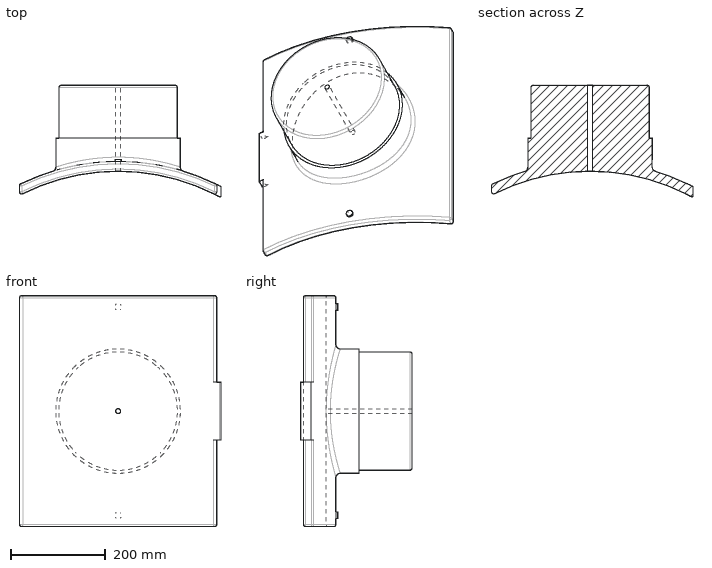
import cadquery as cq
plate_height = 487.0
plate_width = 416.0
plate_thickness = 21.0
back_radius = 471.0
edge_radius = 5.0

tab_height = 122.0
tab_reach = 9.0
tab_overlap = 16.0
tab_edge_radius = 2.5

collar_diameter = 262.5
collar_end = 49.0
collar_fillet = 9.0
spigot_diameter = 250.0
spigot_end = 160.5

center_hole_diameter = 10.0

button_diameter = 14.0
button_height = 4.0
button_offset = 219.5

joint_margin = 1.0

front_radius = back_radius - plate_thickness
half_width = plate_width / 2
tab_end = half_width + tab_reach


def curvature_cylinder(radius):
    """Full vertical cylinder about the axis of the plate's curvature."""
    return cq.Workplane("XY", origin=(0, -back_radius, 0)).circle(radius).extrude(plate_height / 2, both=True)


def curved_strip(x_left, x_right, height):
    """Curved slab between two X limits, centred on Z = 0."""
    width = x_right - x_left
    block = cq.Workplane("XY").box(width, back_radius, height)
    block = block.translate(((x_left + x_right) / 2, -back_radius / 2, 0))
    return block.intersect(curvature_cylinder(back_radius)).cut(curvature_cylinder(front_radius))


def cylinder_along_y(diameter, y_start, y_end, z=0.0):
    """Cylinder along +Y at X = 0."""
    start = cq.Vector(0, y_start, z)
    return cq.Workplane(cq.Solid.makeCylinder(diameter / 2, y_end - y_start, start, cq.Vector(0, 1, 0)))


def make_plate():
    """Curved plate with all its edges rounded."""
    return curved_strip(-half_width, half_width, plate_height).edges().fillet(edge_radius)


def add_collar(body):
    """Collar on the back of the plate, blended into it by a fillet."""
    collar_radius = collar_diameter / 2
    collar = cylinder_along_y(collar_diameter, -back_radius / 2, collar_end)
    body = body.union(collar.cut(curvature_cylinder(back_radius - plate_thickness / 2)))
    reach = collar_radius + joint_margin
    joint_region = cq.selectors.BoxSelector(
        (-reach, -half_width, -reach),
        (reach, joint_margin, reach),
        boundingbox=True,
    )
    return body.edges(joint_region).fillet(collar_fillet)


def make_spigot():
    """Solid round spigot with a rounded rim, standing on the collar."""
    spigot = cylinder_along_y(spigot_diameter, collar_end, spigot_end)
    return spigot.faces(">Y").edges().fillet(edge_radius)


def make_tab():
    """Tab that carries the plate's curve past its right edge."""
    tab = curved_strip(half_width - tab_overlap, tab_end, tab_height)
    return tab.edges("|Z and >X").edges("<Y").fillet(tab_edge_radius)


body = add_collar(make_plate())
body = body.union(make_spigot()).union(make_tab())

for button_z in (-button_offset, button_offset):
    button = cylinder_along_y(button_diameter, -plate_thickness / 2, button_height, button_z)
    body = body.union(button)

result = body.cut(cylinder_along_y(center_hole_diameter, -2 * plate_thickness, spigot_end))